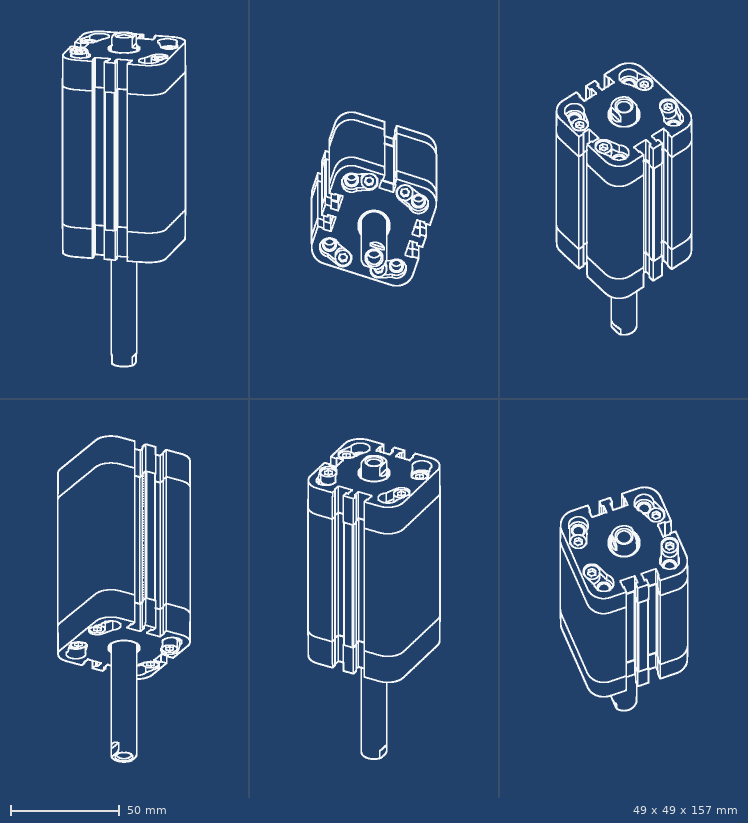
import cadquery as cq
import math

ROD_LENGTH = 157.0
TOP_PROTRUSION = 6.3
CAP_HEIGHT = 14.1
TUBE_HEIGHT = 66.0
TOP_Z = ROD_LENGTH - TOP_PROTRUSION
TUBE_TOP_Z = TOP_Z - CAP_HEIGHT
TUBE_BOTTOM_Z = TUBE_TOP_Z - TUBE_HEIGHT
TUBE_MIDDLE_Z = (TUBE_TOP_Z + TUBE_BOTTOM_Z) / 2

TUBE_WIDTH = 49.0
CAP_END_WIDTH = 48.7
CORNER_RADIUS = 8.2
NECK_DEPTH = 3.0
PAIR_NECK_OUTER_X = 8.3
PAIR_UNDERCUT_OUTER_X = 8.8
SIDE_NECK_WIDTH = 5.8
SIDE_UNDERCUT_WIDTH = 6.9
RIB_HEAD_WIDTH = 5.3
CAP_RIB_CORE_WIDTH = 3.3
TUBE_RIB_CORE_WIDTH = 4.2
TUBE_RIB_CHAMFER = 0.5
CAP_SLOT_DEPTH = 6.6
TUBE_SLOT_DEPTH = 6.3

ROD_DIAMETER = 12.0
ROD_END_FILLET = 1.1
FLAT_WIDTH = 9.7
FLAT_LENGTH = 4.4
THREAD_DIAMETER = 6.6
THREAD_MOUTH_DIAMETER = 8.2
THREAD_DEPTH = 12.5

BORE_DIAMETER = 12.5
RECESS_DIAMETER = 13.7
RECESS_MOUTH_DIAMETER = 14.6
RECESS_DEPTH = 1.5

HOLE_OFFSET = 16.2
SCREW_X = 19.2
SCREW_Y = 8.6
POCKET_DEPTH = 5.0
POCKET_ROUND_DIAMETER = 9.0
POCKET_SLOT_WIDTH = 7.8
HOLE_DIAMETER = 5.2
HOLE_MOUTH_DIAMETER = 6.3
SCREW_HEAD_DIAMETER = 7.2
SCREW_HEAD_HEIGHT = 4.2
SOCKET_WIDTH = 3.5
SOCKET_DEPTH = 2.4
HEX_TURN = 30


def block(height, bottom_z, taper_angle):
    """Rounded square bar of the tube's width at bottom_z, narrowing upward by the taper angle."""
    outline = cq.Sketch().rect(TUBE_WIDTH, TUBE_WIDTH).vertices().fillet(CORNER_RADIUS)
    plane = cq.Workplane("XY").workplane(offset=bottom_z)
    return plane.placeSketch(outline).extrude(height, taper=taper_angle)


def bar_between(x_range, y_range, height, bottom_z):
    """Upright bar with the given X and Y limits."""
    x_start, x_end = x_range
    y_start, y_end = y_range
    corner = (x_start, y_start, bottom_z)
    return cq.Workplane("XY").box(x_end - x_start, y_end - y_start, height, centered=False).translate(corner)


def undercut_slots(height, bottom_z, slot_depth, rib_core_width):
    """Full-height undercut slots: a pair on each Y face and a single one on the -X face."""
    half = TUBE_WIDTH / 2
    neck_span = (half - slot_depth, half)
    undercut_span = (half - slot_depth, half - NECK_DEPTH)

    neck = bar_between((RIB_HEAD_WIDTH / 2, PAIR_NECK_OUTER_X), neck_span, height, bottom_z)
    undercut = bar_between((rib_core_width / 2, PAIR_UNDERCUT_OUTER_X), undercut_span, height, bottom_z)
    pair = neck.union(undercut)
    pair = pair.union(pair.mirror("YZ"))

    neck_half = SIDE_NECK_WIDTH / 2
    undercut_half = SIDE_UNDERCUT_WIDTH / 2
    side = bar_between((-neck_half, neck_half), neck_span, height, bottom_z)
    side = side.union(bar_between((-undercut_half, undercut_half), undercut_span, height, bottom_z))
    side = side.rotate((0, 0, 0), (0, 0, 1), 90)
    return pair.union(pair.mirror("XZ")).union(side)


def rib_chamfers():
    """Cutters that bevel the outer edges of the tube's two ribs."""
    face_y = TUBE_WIDTH / 2
    edge_x = RIB_HEAD_WIDTH / 2
    bevel = (
        cq.Workplane("XY").workplane(offset=TUBE_BOTTOM_Z)
        .moveTo(edge_x - TUBE_RIB_CHAMFER, face_y)
        .lineTo(edge_x, face_y)
        .lineTo(edge_x, face_y - TUBE_RIB_CHAMFER)
        .close()
        .extrude(TUBE_HEIGHT)
    )
    bevels = bevel.union(bevel.mirror("YZ"))
    return bevels.union(bevels.mirror("XZ"))


def cone(bottom_diameter, top_diameter, height, x, y, bottom_z):
    """Upright cone frustum that shapes the chamfered mouth of a hole."""
    return cq.Workplane("XY").add(
        cq.Solid.makeCone(bottom_diameter / 2, top_diameter / 2, height, cq.Vector(x, y, bottom_z))
    )


def cylinder(diameter, height, x, y, bottom_z):
    """Upright cylinder that stands on bottom_z."""
    return cq.Workplane("XY").workplane(offset=bottom_z).center(x, y).circle(diameter / 2).extrude(height)


def mouth(diameter, mouth_diameter, x, y, top_z):
    """45 degree chamfer cutter that opens upward to top_z."""
    height = (mouth_diameter - diameter) / 2
    return cone(diameter, mouth_diameter, height, x, y, top_z - height)


def corner_pocket(side_x, side_y):
    """Pocket in the top face that joins a mounting hole to its screw, with the hole itself."""
    hole_x = side_x * HOLE_OFFSET
    hole_y = side_y * HOLE_OFFSET
    screw_x = side_x * SCREW_X
    screw_y = side_y * SCREW_Y
    floor_z = TOP_Z - POCKET_DEPTH
    run_x = screw_x - hole_x
    run_y = screw_y - hole_y
    run = math.hypot(run_x, run_y)
    slot = (
        cq.Workplane("XY").workplane(offset=floor_z)
        .center((hole_x + screw_x) / 2, (hole_y + screw_y) / 2)
        .slot2D(run + POCKET_SLOT_WIDTH, POCKET_SLOT_WIDTH, math.degrees(math.atan2(run_y, run_x)))
        .extrude(POCKET_DEPTH)
    )
    return (
        slot
        .union(cylinder(POCKET_ROUND_DIAMETER, POCKET_DEPTH, hole_x, hole_y, floor_z))
        .union(cylinder(HOLE_DIAMETER, floor_z - TUBE_TOP_Z, hole_x, hole_y, TUBE_TOP_Z))
        .union(mouth(HOLE_DIAMETER, HOLE_MOUTH_DIAMETER, hole_x, hole_y, floor_z))
    )


def screw_head(side_x, side_y):
    """Socket screw head that stands on the pocket floor as part of the cap."""
    x = side_x * SCREW_X
    y = side_y * SCREW_Y
    floor_z = TOP_Z - POCKET_DEPTH
    head = cylinder(SCREW_HEAD_DIAMETER, SCREW_HEAD_HEIGHT, x, y, floor_z)
    socket = (
        cq.Workplane("XY").workplane(offset=floor_z + SCREW_HEAD_HEIGHT - SOCKET_DEPTH).center(x, y)
        .transformed(rotate=(0, 0, HEX_TURN))
        .polygon(6, SOCKET_WIDTH, circumscribed=True)
        .extrude(SOCKET_DEPTH)
    )
    return head.cut(socket)


def make_top_cap():
    """End cap with slots, rod bore, corner pockets and screw heads."""
    taper_angle = math.degrees(math.atan2((TUBE_WIDTH - CAP_END_WIDTH) / 2, CAP_HEIGHT))
    cap = block(CAP_HEIGHT, TUBE_TOP_Z, taper_angle)
    cap = cap.cut(undercut_slots(CAP_HEIGHT, TUBE_TOP_Z, CAP_SLOT_DEPTH, CAP_RIB_CORE_WIDTH))
    cap = cap.cut(cylinder(BORE_DIAMETER, CAP_HEIGHT, 0, 0, TUBE_TOP_Z))
    cap = cap.cut(cylinder(RECESS_DIAMETER, RECESS_DEPTH, 0, 0, TOP_Z - RECESS_DEPTH))
    cap = cap.cut(mouth(RECESS_DIAMETER, RECESS_MOUTH_DIAMETER, 0, 0, TOP_Z))
    for side_x in (-1, 1):
        for side_y in (-1, 1):
            cap = cap.cut(corner_pocket(side_x, side_y))
            cap = cap.union(screw_head(side_x, side_y))
    return cap


def make_tube():
    """Slotted middle profile that the rod passes through."""
    tube = block(TUBE_HEIGHT, TUBE_BOTTOM_Z, 0)
    tube = tube.cut(undercut_slots(TUBE_HEIGHT, TUBE_BOTTOM_Z, TUBE_SLOT_DEPTH, TUBE_RIB_CORE_WIDTH))
    tube = tube.cut(rib_chamfers())
    return tube.cut(cylinder(ROD_DIAMETER, TUBE_HEIGHT, 0, 0, TUBE_BOTTOM_Z))


def rod_end_cutter():
    """Everything removed from the upper rod end: wrench flats and threaded hole."""
    cutter = cylinder(THREAD_DIAMETER, THREAD_DEPTH, 0, 0, ROD_LENGTH - THREAD_DEPTH)
    cutter = cutter.union(mouth(THREAD_DIAMETER, THREAD_MOUTH_DIAMETER, 0, 0, ROD_LENGTH))
    flat_x = FLAT_WIDTH / 2
    outer_x = ROD_DIAMETER / 2
    shoulder_z = ROD_LENGTH - FLAT_LENGTH
    flat = (
        cq.Workplane("XZ")
        .moveTo(flat_x, ROD_LENGTH)
        .lineTo(flat_x, shoulder_z)
        .lineTo(outer_x, shoulder_z - (outer_x - flat_x))
        .lineTo(outer_x, ROD_LENGTH)
        .close()
        .extrude(outer_x, both=True)
    )
    return cutter.union(flat).union(flat.mirror("YZ"))


def make_rod():
    """Through rod with the same rounded, flatted and drilled end at both ends."""
    rod = cylinder(ROD_DIAMETER, ROD_LENGTH, 0, 0, 0).edges("%CIRCLE").fillet(ROD_END_FILLET)
    upper = rod_end_cutter()
    lower = upper.mirror("XY", (0, 0, ROD_LENGTH / 2))
    return rod.cut(upper).cut(lower)


tube = make_tube()
top_cap = make_top_cap()
bottom_cap = top_cap.mirror("XY", (0, 0, TUBE_MIDDLE_Z))
rod = make_rod()

result = cq.Compound.makeCompound([tube.val(), top_cap.val(), bottom_cap.val(), rod.val()])